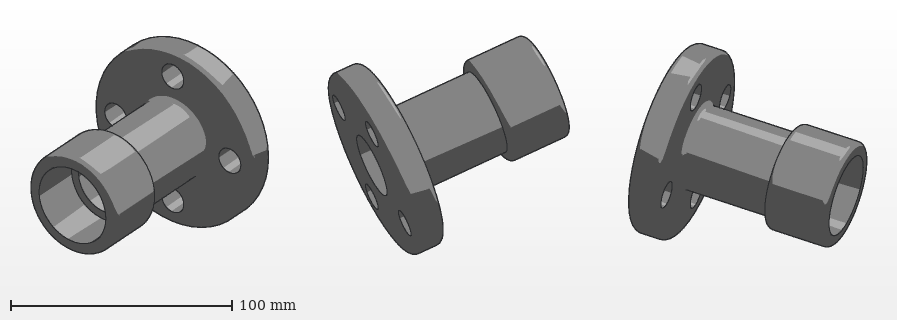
import cadquery as cq

total_length = 88.4
flange_diameter = 90
flange_thickness = 14.1
neck_diameter = 40.0
collar_diameter = 50.0
collar_length = 30.0
bore_diameter = 30.0
socket_diameter = 38.0
socket_depth = 24.0
bolt_hole_diameter = 12.5
bolt_circle_diameter = 65.0
bolt_hole_count = 4
edge_radius = 2.5


def cylinder(diameter, front, length):
    """Cylinder on the Y axis, from its front end toward +Y."""
    plane = cq.Plane(origin=(0, front, 0), xDir=(1, 0, 0), normal=(0, 1, 0))
    return cq.Workplane(plane).circle(diameter / 2).extrude(length)


flange_front = total_length - flange_thickness
neck_length = flange_front - collar_length

flange = cylinder(flange_diameter, flange_front, flange_thickness).edges().fillet(edge_radius)
collar = cylinder(collar_diameter, 0, collar_length).edges().fillet(edge_radius)
neck = cylinder(neck_diameter, collar_length, neck_length)

neck_root = cq.selectors.BoxSelector(
    (-neck_diameter, flange_front - edge_radius, -neck_diameter),
    (neck_diameter, flange_front + edge_radius, neck_diameter),
)
neck_and_flange = flange.union(neck)
root_edge = neck_and_flange.edges(neck_root).edges(cq.selectors.RadiusNthSelector(0))
body = root_edge.fillet(edge_radius).union(collar)

body = body.cut(cylinder(bore_diameter, 0, total_length))
body = body.cut(cylinder(socket_diameter, 0, socket_depth))

bolt_holes = (
    cq.Workplane("XZ", origin=(0, total_length, 0))
    .polarArray(bolt_circle_diameter / 2, 0, 360, bolt_hole_count)
    .circle(bolt_hole_diameter / 2)
    .extrude(flange_thickness)
)
result = body.cut(bolt_holes)